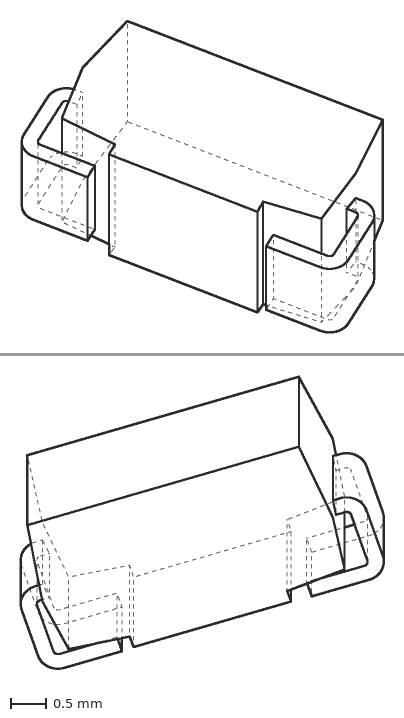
import cadquery as cq
import math

housing_length = 4.33
housing_width = 2.56
half_height = 1.145
draft_angle = 7.0

pad_length = 2.35
relief_inner_depth = 0.96
relief_outer_depth = 0.88

overall_length = 5.14
lead_drop = 1.35
lead_thickness = 0.23
lead_width = 1.44
bend_radius = 0.3
foot_length = 1.155

draft_inset = half_height * math.tan(math.radians(draft_angle))


def housing_half(direction):
    """One tapered half; direction is +1 above the parting plane and -1 below it."""
    return (
        cq.Workplane("XZ")
        .rect(housing_length, housing_width)
        .workplane(offset=-direction * half_height)
        .rect(housing_length - 2 * draft_inset, housing_width - 2 * draft_inset)
        .loft(ruled=True)
    )


def end_relief(side):
    """Wedge with a sloping roof, removed under one end; side is +1 or -1 along X."""
    pad_end = side * pad_length / 2
    wall_inset = relief_outer_depth * math.tan(math.radians(draft_angle))
    wall_x = housing_length / 2 - wall_inset
    slope = (relief_inner_depth - relief_outer_depth) / (wall_x - pad_length / 2)
    outer_x = side * housing_length / 2
    outer_depth = relief_outer_depth - slope * wall_inset
    return (
        cq.Workplane("XY")
        .polyline([
            (pad_end, -relief_inner_depth),
            (outer_x, -outer_depth),
            (outer_x, -half_height),
            (pad_end, -half_height),
        ])
        .close()
        .extrude(housing_width / 2, both=True)
    )


def make_housing():
    body = housing_half(1).union(housing_half(-1))
    for side in (-1, 1):
        body = body.cut(end_relief(side))
    return body


def round_bends(strip, face_x, radius):
    """Round the two Z edges bounding the upright face of the lead at X = face_x."""
    margin = lead_thickness / 4
    near_face = cq.selectors.BoxSelector(
        (face_x - margin, -lead_drop - margin, -margin),
        (face_x + margin, margin, margin),
    )
    return strip.edges("|Z").edges(near_face).fillet(radius)


def make_lead(side, housing):
    """Bent strip whose upper leg butts against the drafted end wall of the housing."""
    outer_x = side * overall_length / 2
    inner_x = side * (overall_length / 2 - lead_thickness)
    foot_end_x = side * (overall_length / 2 - foot_length)
    upper_end_x = side * (housing_length / 2 - draft_inset)
    strip = (
        cq.Workplane("XY")
        .polyline([
            (upper_end_x, 0),
            (outer_x, 0),
            (outer_x, -lead_drop),
            (foot_end_x, -lead_drop),
            (foot_end_x, -lead_drop + lead_thickness),
            (inner_x, -lead_drop + lead_thickness),
            (inner_x, -lead_thickness),
            (upper_end_x, -lead_thickness),
        ])
        .close()
        .extrude(lead_width / 2, both=True)
    )
    strip = round_bends(strip, outer_x, bend_radius)
    strip = round_bends(strip, inner_x, bend_radius - lead_thickness)
    return strip.cut(housing)


housing = make_housing()
leads = [make_lead(side, housing) for side in (-1, 1)]

result = cq.Compound.makeCompound([housing.solids().val(), *[lead.solids().val() for lead in leads]])